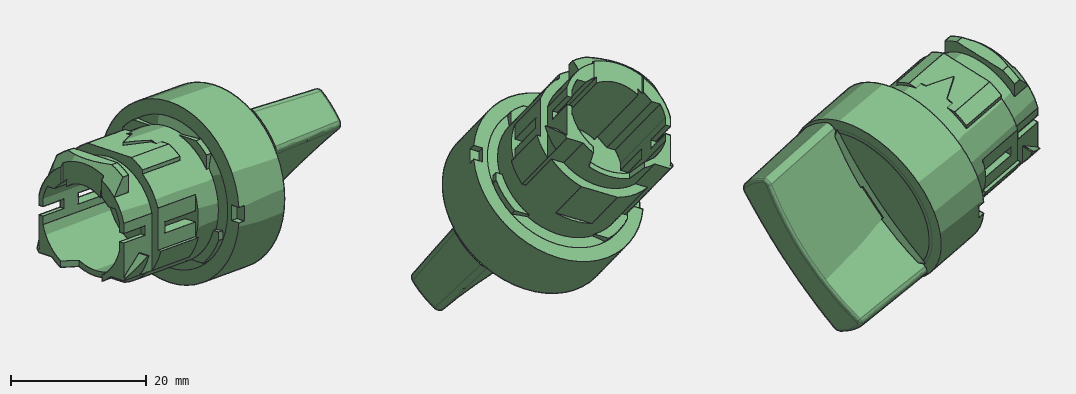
import cadquery as cq
import math


bezel_radius = 14.25
bezel_length = 9.75
key_slot_floor_x = 12.7
key_slot_width = 2.43
key_slot_depth = 1.12

collar_radius = 11.9
collar_length = 0.5
tab_length = 1.05
upper_tab_half_width = 8.55
lower_tab_half_width = 11.0
lower_tab_bottom_z = -8.95

tube_radius = 10.45
tube_end_y = -12.8
panel_start_y = -4.8
panel_height = 10.0
side_panel_x = 9.9
ledge_z = -3.2
ledge_bottom_z = -6.7
lug_radius = 10.95
top_lug_half_width = 6.75

pointer_half_width = 3.25
pointer_shoulder_y = -5.98
pointer_neck_half_width = 1.98
pointer_tip_y = -9.9

nose_radius = 9.0
nose_half_width = 8.65
nose_end_y = -18.83

clip_start_y = -15.75
clip_cone_start_y = -17.0
clip_recess_half_width = 4.15
clip_recess_depth = 0.45

hook_start_y = -15.35
hook_slope_start_y = -15.6
hook_end_z = -6.15

bore_radius = 8.1
bore_half_width = 7.8
bore_top_z = 4.2
bore_crown_radius = 6.0
bore_crown_half_width = 3.45
bore_shoulder_half_width = 5.53
bore_shoulder_z = 6.0
window_width = 1.75
window_end_y = -11.28
end_slot_width = 1.5
end_slot_start_y = -14.3
notch_start_y = -15.8
notch_floor_half_width = 3.35
notch_mouth_half_width = 4.25

base_top_radius = 12.35
base_edge_radius = 12.75
base_edge_height = 0.3
base_height = 0.55
grip_base_y = bezel_length + base_height
dome_rise = 0.67
grip_end_radius = 13.97
grip_half_width = 4.0
grip_waist_half_width = 3.3
grip_taper = 1.6
grip_corner_radius = 1.1
grip_top_y = 26.1
grip_arch_radius = 69.65
grip_rim_radius = 0.55

foot_half_length = 12.05
foot_end_half_width = 4.35
foot_middle_half_width = 4.7
foot_slope = 45.0
foot_height = 2.25
foot_notch_half_width = 2.85
foot_notch_height = 1.15

reach = 2 * bezel_radius
along_bar = (1, 0, 1)


def section_plane(y):
    """Plane across the axis; local axes are X and Z, and extrusion runs towards -Y."""
    return cq.Workplane("XZ", origin=(0, y, 0))


def disc(radius, y_start, y_end):
    return section_plane(y_start).circle(radius).extrude(y_start - y_end)


def block(x_min, x_max, z_min, z_max, y_start, y_end):
    size = (x_max - x_min, y_start - y_end, z_max - z_min)
    return cq.Workplane("XY").box(*size, centered=False).translate((x_min, y_end, z_min))


def centred_block(half_width, z_min, z_max, y_start, y_end):
    return block(-half_width, half_width, z_min, z_max, y_start, y_end)


def turned(points):
    """Solid of revolution about Y from an outline of (radius, y) points."""
    return cq.Workplane("XY").polyline(points).close().revolve(360, (0, 0), (0, 1))


def mirrored_pair(body):
    return body.union(body.mirror("YZ"))


def make_bezel():
    bezel = disc(bezel_radius, bezel_length, 0)
    half_slot = key_slot_width / 2
    slot = block(key_slot_floor_x, reach, -half_slot, half_slot, key_slot_depth, 0)
    return bezel.cut(mirrored_pair(slot))


def make_collar():
    collar = turned([(0, 0), (collar_radius, 0), (tube_radius, -collar_length), (0, -collar_length)])
    upper_tabs = centred_block(upper_tab_half_width, 0, panel_height, 0, -tab_length)
    lower_tabs = centred_block(lower_tab_half_width, lower_tab_bottom_z, ledge_z, 0, -tab_length)
    tabs = upper_tabs.union(lower_tabs).intersect(disc(collar_radius, 0, -tab_length))
    return collar.union(tabs)


def make_pointer():
    outline = [
        (-pointer_half_width, panel_start_y),
        (-pointer_half_width, pointer_shoulder_y),
        (-pointer_neck_half_width, pointer_shoulder_y),
        (0, pointer_tip_y),
        (pointer_neck_half_width, pointer_shoulder_y),
        (pointer_half_width, pointer_shoulder_y),
        (pointer_half_width, panel_start_y),
    ]
    return cq.Workplane("XY").polyline(outline).close().extrude(reach)


def make_tube():
    tube = disc(tube_radius, 0, tube_end_y)
    above_top = centred_block(reach, panel_height, reach, panel_start_y, tube_end_y)
    below_bottom = centred_block(reach, -reach, -panel_height, panel_start_y, tube_end_y)
    beside = block(side_panel_x, reach, ledge_z, reach, panel_start_y, tube_end_y)
    tube = tube.cut(above_top.cut(make_pointer())).cut(below_bottom).cut(mirrored_pair(beside))

    top_lug = centred_block(top_lug_half_width, 0, panel_height, panel_start_y, tube_end_y)
    side_lugs = centred_block(reach, ledge_bottom_z, ledge_z, panel_start_y, tube_end_y)
    lugs = top_lug.union(side_lugs).intersect(disc(lug_radius, panel_start_y, tube_end_y))
    return tube.union(lugs)


def make_clip():
    envelope = turned([
        (0, clip_start_y),
        (lug_radius, clip_start_y),
        (lug_radius, clip_cone_start_y),
        (nose_radius, nose_end_y),
        (0, nose_end_y),
    ])
    return envelope.intersect(centred_block(top_lug_half_width, 0, panel_height, clip_start_y, nose_end_y))


def make_hooks():
    """Side hooks bounded by the lug radius and a top face sloping down towards the nose end."""
    profile = [
        (hook_start_y, ledge_bottom_z),
        (hook_start_y, ledge_z),
        (hook_slope_start_y, ledge_z),
        (nose_end_y, hook_end_z),
        (nose_end_y, ledge_bottom_z),
    ]
    wedge = cq.Workplane("YZ").polyline(profile).close().extrude(reach / 2, both=True)
    return wedge.intersect(disc(lug_radius, hook_start_y, nose_end_y))


def make_nose():
    nose = disc(nose_radius, tube_end_y, nose_end_y)
    nose = nose.intersect(centred_block(nose_half_width, -reach, reach, tube_end_y, nose_end_y))
    square_corners = centred_block(nose_half_width, ledge_bottom_z, 0, tube_end_y, nose_end_y)
    return nose.union(square_corners).union(make_clip()).union(make_hooks())


def make_bore():
    bore = disc(bore_radius, panel_start_y, nose_end_y)
    bore = bore.intersect(centred_block(bore_half_width, -reach, bore_top_z, panel_start_y, nose_end_y))
    crown_edge_z = math.sqrt(bore_crown_radius**2 - bore_crown_half_width**2)
    upper = (
        section_plane(panel_start_y)
        .moveTo(-bore_shoulder_half_width, 0)
        .lineTo(-bore_shoulder_half_width, bore_top_z)
        .lineTo(-bore_crown_half_width, bore_shoulder_z)
        .lineTo(-bore_crown_half_width, crown_edge_z)
        .threePointArc((0, bore_crown_radius), (bore_crown_half_width, crown_edge_z))
        .lineTo(bore_crown_half_width, bore_shoulder_z)
        .lineTo(bore_shoulder_half_width, bore_top_z)
        .lineTo(bore_shoulder_half_width, 0)
        .close()
        .extrude(panel_start_y - nose_end_y)
    )
    return bore.union(upper)


def make_openings():
    """Bore, side windows and end slots, the clip's end recess and the flared bottom notch."""
    half_window = window_width / 2
    half_slot = end_slot_width / 2
    windows = centred_block(reach, -half_window, half_window, panel_start_y, window_end_y)
    end_slots = centred_block(reach, -half_slot, half_slot, end_slot_start_y, nose_end_y)
    recess_floor_y = nose_end_y + clip_recess_depth
    clip_recess = centred_block(clip_recess_half_width, bore_top_z, reach, recess_floor_y, nose_end_y)
    notch_outline = [
        (-notch_floor_half_width, notch_start_y),
        (notch_floor_half_width, notch_start_y),
        (notch_mouth_half_width, nose_end_y),
        (-notch_mouth_half_width, nose_end_y),
    ]
    notch = cq.Workplane("XY").polyline(notch_outline).close().extrude(-reach)
    return make_bore().union(windows).union(end_slots).union(clip_recess).union(notch)


def make_housing():
    solid = make_bezel().union(make_collar()).union(make_tube()).union(make_nose())
    return solid.cut(make_openings())


def make_knob_base():
    dome_radius = (base_top_radius**2 + dome_rise**2) / (2 * dome_rise)
    half_radius = base_top_radius / 2
    half_rise = math.sqrt(dome_radius**2 - half_radius**2) - (dome_radius - dome_rise)
    return (
        cq.Workplane("XY")
        .moveTo(0, bezel_length)
        .lineTo(bezel_radius, bezel_length)
        .lineTo(base_edge_radius, bezel_length + base_edge_height)
        .lineTo(base_top_radius, grip_base_y)
        .threePointArc((half_radius, grip_base_y + half_rise), (0, grip_base_y + dome_rise))
        .close()
        .revolve(360, (0, 0), (0, 1))
    )


def grip_plane():
    """Plane under the grip, with its first axis along the bar and its normal towards +Y."""
    return cq.Plane(origin=(0, grip_base_y, 0), xDir=along_bar, normal=(0, 1, 0))


def make_foot():
    foot = (
        cq.Workplane(grip_plane())
        .moveTo(-foot_half_length, foot_end_half_width)
        .threePointArc((0, foot_middle_half_width), (foot_half_length, foot_end_half_width))
        .lineTo(foot_half_length, -foot_end_half_width)
        .threePointArc((0, -foot_middle_half_width), (-foot_half_length, -foot_end_half_width))
        .close()
        .extrude(foot_height, taper=foot_slope)
    )
    notch = (
        cq.Workplane(grip_plane())
        .workplane(offset=foot_notch_height)
        .rect(2 * foot_notch_half_width, reach)
        .extrude(foot_height)
    )
    return foot.cut(notch)


def make_grip():
    """Tapered bar at 45 degrees between X and Z, with hollow sides, round ends and an arched top."""
    side_plane = cq.Plane(origin=(0, 0, 0), xDir=along_bar, normal=(-1, 0, 1))
    corner_u = math.sqrt(grip_end_radius**2 - grip_half_width**2)
    bar = (
        cq.Workplane(grip_plane())
        .moveTo(-corner_u, grip_half_width)
        .threePointArc((0, grip_waist_half_width), (corner_u, grip_half_width))
        .threePointArc((grip_end_radius, 0), (corner_u, -grip_half_width))
        .threePointArc((0, -grip_waist_half_width), (-corner_u, -grip_half_width))
        .threePointArc((-grip_end_radius, 0), (-corner_u, grip_half_width))
        .close()
        .extrude(grip_top_y - grip_base_y, taper=grip_taper)
    )
    bar = bar.edges("not(<Y or >Y)").fillet(grip_corner_radius)

    arch_drop = grip_arch_radius - math.sqrt(grip_arch_radius**2 - grip_end_radius**2)
    arch = (
        cq.Workplane(side_plane)
        .moveTo(-grip_end_radius, grip_base_y)
        .lineTo(-grip_end_radius, grip_top_y - arch_drop)
        .threePointArc((0, grip_top_y), (grip_end_radius, grip_top_y - arch_drop))
        .lineTo(grip_end_radius, grip_base_y)
        .close()
        .extrude(reach / 2, both=True)
    )
    return bar.intersect(arch).faces(">Y").edges().fillet(grip_rim_radius)


def make_knob():
    return make_knob_base().union(make_foot()).union(make_grip())


housing = make_housing().solids()
knob = make_knob().solids()
result = cq.Compound.makeCompound([housing.val(), knob.val()])